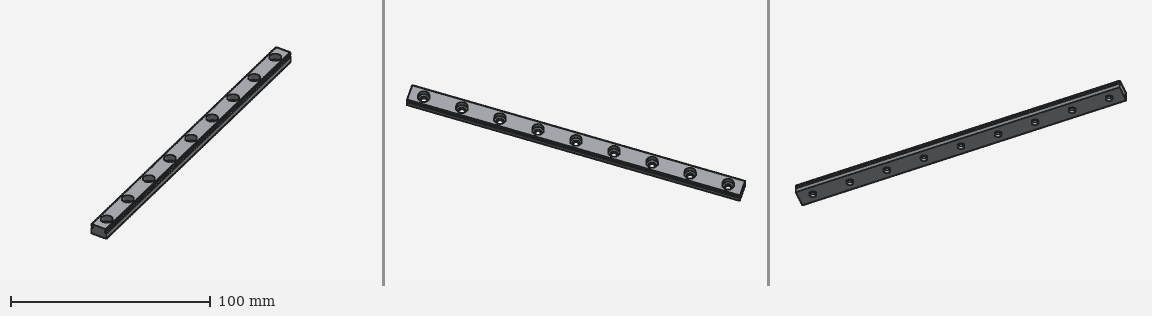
import cadquery as cq

length = 175.0
width = 9.0
height = 6.0
top_chamfer = 0.4

groove_drop = 2.0
groove_opening = 1.5
groove_floor = 0.7
groove_depth = 0.9

hole_count = 9
end_margin = 7.5
hole_diameter = 3.5
bore_diameter = 6.0
bore_depth = 3.5

hole_pitch = (length - 2 * end_margin) / (hole_count - 1)


def rail_body():
    body = cq.Workplane("XY").box(length=width, width=length, height=height, centered=(True, True, False))
    return body.faces(">Z").edges("|Y").chamfer(top_chamfer)


def side_groove(side):
    """Trapezoidal cutter for one side: -1 is the -X side, +1 the +X side."""
    edge_x = side * width / 2
    floor_x = edge_x - side * groove_depth
    groove_z = height - groove_drop
    profile = [
        (edge_x, groove_z + groove_opening / 2),
        (floor_x, groove_z + groove_floor / 2),
        (floor_x, groove_z - groove_floor / 2),
        (edge_x, groove_z - groove_opening / 2),
    ]
    return cq.Workplane("XZ").polyline(profile).close().extrude(length / 2, both=True)


rail = rail_body()
for side in (-1, 1):
    rail = rail.cut(side_groove(side))

result = (
    rail.faces(">Z")
    .workplane(origin=(0, 0, height))
    .rarray(1.8, hole_pitch, 1, hole_count)
    .cboreHole(hole_diameter, bore_diameter, bore_depth)
)